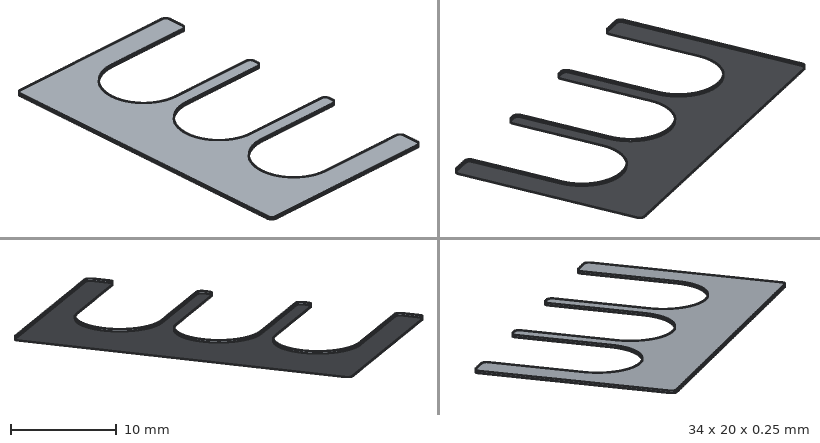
import cadquery as cq

length = 34.0
depth = 20.0
thickness = 0.25
corner_radius = 0.5

slot_count = 3
slot_pitch = 10.0
slot_width = 8.5
slot_straight_depth = 10.0

slot_radius = slot_width / 2
open_edge_y = depth / 2
slot_center_y = open_edge_y - slot_straight_depth


def make_slot(center_x):
    """Cutter for one slot: parallel sides ending in a half circle."""
    left_x = center_x - slot_radius
    right_x = center_x + slot_radius
    return (
        cq.Workplane("XY")
        .moveTo(left_x, open_edge_y)
        .lineTo(left_x, slot_center_y)
        .threePointArc((center_x, slot_center_y - slot_radius), (right_x, slot_center_y))
        .lineTo(right_x, open_edge_y)
        .close()
        .extrude(thickness)
    )


plate = cq.Workplane("XY").box(length, depth, thickness, centered=(True, True, False))

for index in range(slot_count):
    slot_x = (index - (slot_count - 1) / 2) * slot_pitch
    plate = plate.cut(make_slot(slot_x))

result = plate.edges("|Z").edges("<Y or >Y").fillet(corner_radius)